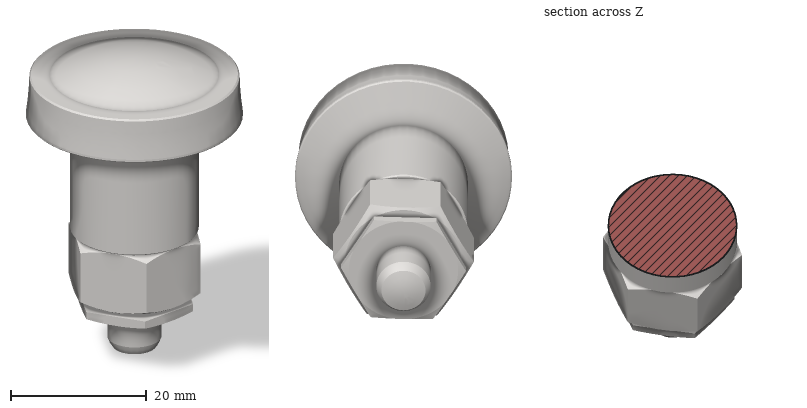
import cadquery as cq
import math

total_height = 47.7

pin_radius = 4.0
pin_tip_radius = 3.25
pin_tip_height = 0.65
pin_bevel_top = 2.15
pin_bevel_bulge = 0.1

lock_nut_flats = 16.0
lock_nut_bottom = 7.4
lock_nut_height = 1.5
lock_nut_face_radius = 8.05
lock_nut_bevel_angle = 15.0
nut_flats = 18.0
nut_bottom = 9.87
nut_face_radius = 8.7
nut_bevel_angle = 30.0

neck_radius = 5.2
sleeve_radius = 9.5
sleeve_bottom = 19.85
sleeve_chamfer = 0.2

knob_diameter = 32.0
knob_radius = knob_diameter / 2
knob_top_radius = 15.5
knob_bottom = 36.35
rim_bottom = 38.2
rim_top = 38.75
rim_chamfer = 0.2
knob_top = 45.05
knob_edge_chamfer = 0.25
knob_side_sag = 0.1
dome_radius = 12.5


def cylinder(radius, bottom, top):
    return cq.Workplane("XY").workplane(offset=bottom).circle(radius).extrude(top - bottom)


def beveled_hexagon(flats, bottom, height, face_radius, bevel_angle, bevel_top):
    """Hexagonal prism with its corners turned down by a conical bevel, optionally at both ends."""
    corner_radius = flats / math.sqrt(3)
    bevel_height = (corner_radius - face_radius) * math.tan(math.radians(bevel_angle))
    top = bottom + height
    prism = cq.Workplane("XY").workplane(offset=bottom).polygon(6, 2 * corner_radius).extrude(height)
    envelope = (
        cq.Workplane("XZ")
        .moveTo(0, bottom)
        .lineTo(face_radius, bottom)
        .lineTo(corner_radius, bottom + bevel_height)
    )
    if bevel_top:
        envelope = envelope.lineTo(corner_radius, top - bevel_height).lineTo(face_radius, top)
    else:
        envelope = envelope.lineTo(corner_radius, top)
    cone_bounds = envelope.lineTo(0, top).close().revolve(360, (0, 0), (0, 1))
    return prism.intersect(cone_bounds)


def spherical_arc_middle(base_radius, base_z, apex_z):
    """Point halfway along the arc from a dome's base circle to its apex."""
    rise = abs(apex_z - base_z)
    sphere_radius = (base_radius**2 + rise**2) / (2 * rise)
    half_angle = math.asin(base_radius / sphere_radius) / 2
    drop = math.copysign(sphere_radius * (1 - math.cos(half_angle)), apex_z - base_z)
    return sphere_radius * math.sin(half_angle), apex_z - drop


def make_pin():
    tip_middle = spherical_arc_middle(pin_tip_radius, pin_tip_height, 0)
    bevel_middle = (
        (pin_tip_radius + pin_radius) / 2 + pin_bevel_bulge,
        (pin_tip_height + pin_bevel_top) / 2,
    )
    return (
        cq.Workplane("XZ")
        .threePointArc(tip_middle, (pin_tip_radius, pin_tip_height))
        .threePointArc(bevel_middle, (pin_radius, pin_bevel_top))
        .lineTo(pin_radius, nut_bottom)
        .lineTo(0, nut_bottom)
        .close()
        .revolve(360, (0, 0), (0, 1))
    )


def make_knob():
    side_top = knob_top - knob_edge_chamfer
    side_middle = ((knob_radius + knob_top_radius) / 2 - knob_side_sag, (rim_top + side_top) / 2)
    return (
        cq.Workplane("XZ")
        .moveTo(0, knob_bottom)
        .lineTo(sleeve_radius, knob_bottom)
        .lineTo(knob_radius - rim_chamfer, rim_bottom)
        .lineTo(knob_radius, rim_bottom + rim_chamfer)
        .lineTo(knob_radius, rim_top)
        .threePointArc(side_middle, (knob_top_radius, side_top))
        .lineTo(knob_top_radius - knob_edge_chamfer, knob_top)
        .lineTo(dome_radius, knob_top)
        .threePointArc(spherical_arc_middle(dome_radius, knob_top, total_height), (0, total_height))
        .close()
        .revolve(360, (0, 0), (0, 1))
    )


lock_nut = beveled_hexagon(
    lock_nut_flats, lock_nut_bottom, lock_nut_height, lock_nut_face_radius, lock_nut_bevel_angle, False
)
main_nut = beveled_hexagon(
    nut_flats, nut_bottom, sleeve_bottom - nut_bottom, nut_face_radius, nut_bevel_angle, True
)
neck = cylinder(neck_radius, lock_nut_bottom, nut_bottom)
sleeve = cylinder(sleeve_radius, sleeve_bottom, knob_bottom).faces("<Z").chamfer(sleeve_chamfer)

result = make_pin().union(neck).union(lock_nut).union(main_nut).union(sleeve).union(make_knob())